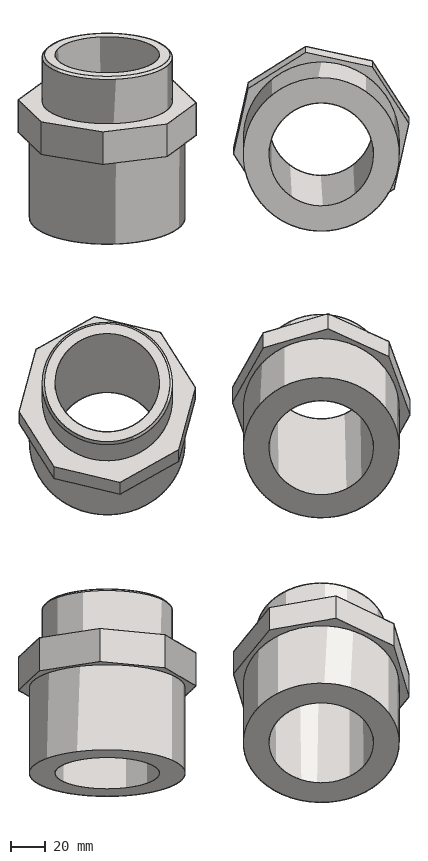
import cadquery as cq
import math

total_height = 100.0
socket_height = 51.4
collar_height = 20.0
collar_top = socket_height + collar_height
spigot_height = total_height - collar_top

socket_diameter = 90.0
collar_across_flats = 95.0
spigot_diameter = 75.2
bore_diameter = 60.2
rim_chamfer = 1.4

collar_sides = 8
collar_across_corners = collar_across_flats / math.cos(math.pi / collar_sides)
half_side_angle = 180.0 / collar_sides

socket = cq.Workplane("XY").circle(socket_diameter / 2).extrude(socket_height)

collar = (
    cq.Workplane("XY")
    .polygon(collar_sides, collar_across_corners)
    .extrude(collar_height)
    .rotate((0, 0, 0), (0, 0, 1), half_side_angle)
    .translate((0, 0, socket_height))
)

spigot = (
    cq.Workplane("XY")
    .workplane(offset=collar_top)
    .circle(spigot_diameter / 2)
    .extrude(spigot_height)
    .faces(">Z")
    .edges()
    .chamfer(rim_chamfer)
)

bore = cq.Workplane("XY").circle(bore_diameter / 2).extrude(total_height)

result = socket.union(collar).union(spigot).cut(bore)